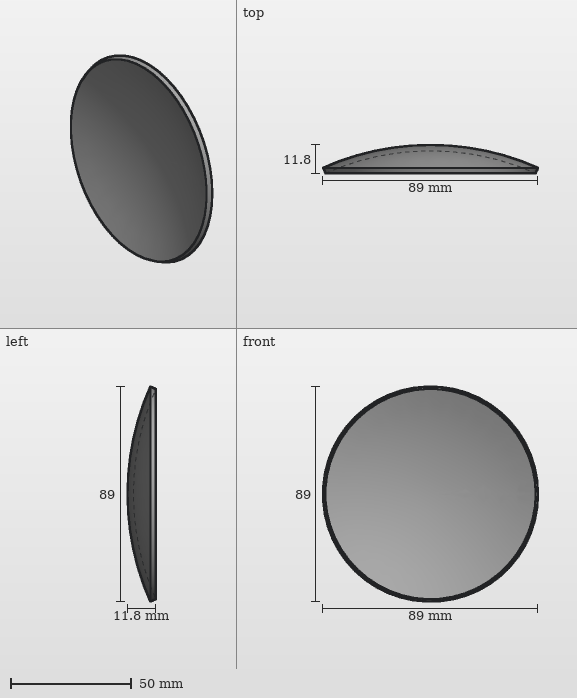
import cadquery as cq
import math

outer_diameter = 89.0
dome_radius = 109.0
wall_thickness = 2.5

outer_radius = outer_diameter / 2
rim_angle = math.asin(outer_radius / dome_radius)
hollow_radius = dome_radius - wall_thickness

sphere_centre_y = -hollow_radius * math.cos(rim_angle)


def point_on_sphere(radius, angle):
    """Profile point (X, Y) on a sphere, at an angle measured from the Y axis."""
    return (radius * math.sin(angle), sphere_centre_y + radius * math.cos(angle))


def make_dished_disc():
    """Revolve the half section of the disc about the Y axis."""
    half_section = (
        cq.Workplane("XY")
        .moveTo(*point_on_sphere(hollow_radius, 0))
        .threePointArc(
            point_on_sphere(hollow_radius, rim_angle / 2),
            point_on_sphere(hollow_radius, rim_angle),
        )
        .lineTo(*point_on_sphere(dome_radius, rim_angle))
        .threePointArc(
            point_on_sphere(dome_radius, rim_angle / 2),
            point_on_sphere(dome_radius, 0),
        )
        .close()
    )
    return half_section.revolve(360, (0, 0, 0), (0, 1, 0))


result = make_dished_disc()